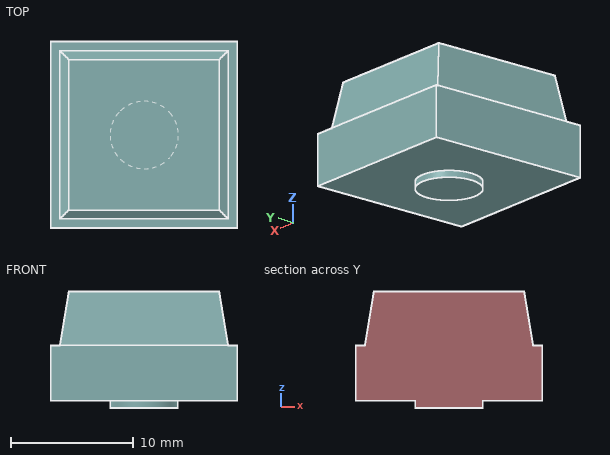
import cadquery as cq

base_side = 15.25
base_height = 4.55

cap_bottom_side = 13.75
cap_top_side = 12.29
cap_height = 4.4

boss_diameter = 5.55
boss_height = 0.6


def make_base():
    """Square block standing on the plane Z = 0."""
    return cq.Workplane("XY").rect(base_side, base_side).extrude(base_height)


def make_cap():
    """Square frustum narrowing upward from the top face of the base."""
    return (
        cq.Workplane("XY")
        .workplane(offset=base_height)
        .rect(cap_bottom_side, cap_bottom_side)
        .workplane(offset=cap_height)
        .rect(cap_top_side, cap_top_side)
        .loft(ruled=True)
    )


def make_boss():
    """Short disc hanging below the centre of the base."""
    return cq.Workplane("XY").circle(boss_diameter / 2).extrude(-boss_height)


result = make_base().union(make_cap()).union(make_boss())